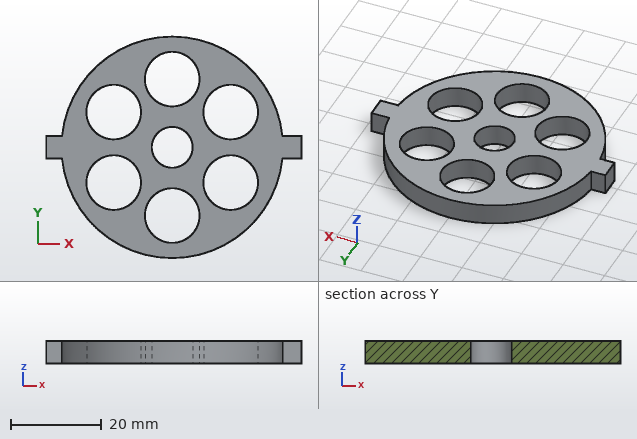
import cadquery as cq

disc_diameter = 49.0
thickness = 5.0
center_hole_diameter = 9.0
window_diameter = 12.0

end_window_y = 15.1
side_window_x = 12.95
side_window_y = 7.8

tab_width = thickness
overall_length = 56.45
left_reach = 27.85
right_reach = overall_length - left_reach

window_centers = [(0, sign * end_window_y) for sign in (-1, 1)]
for x_sign in (-1, 1):
    for y_sign in (-1, 1):
        window_centers.append((x_sign * side_window_x, y_sign * side_window_y))

disc = cq.Workplane("XY").circle(disc_diameter / 2).extrude(thickness)

tab_bar = (
    cq.Workplane("XY")
    .center((right_reach - left_reach) / 2, 0)
    .rect(overall_length, tab_width)
    .extrude(thickness)
)

center_hole = cq.Workplane("XY").circle(center_hole_diameter / 2).extrude(thickness)
windows = (
    cq.Workplane("XY")
    .pushPoints(window_centers)
    .circle(window_diameter / 2)
    .extrude(thickness)
)

result = disc.union(tab_bar).cut(center_hole).cut(windows)